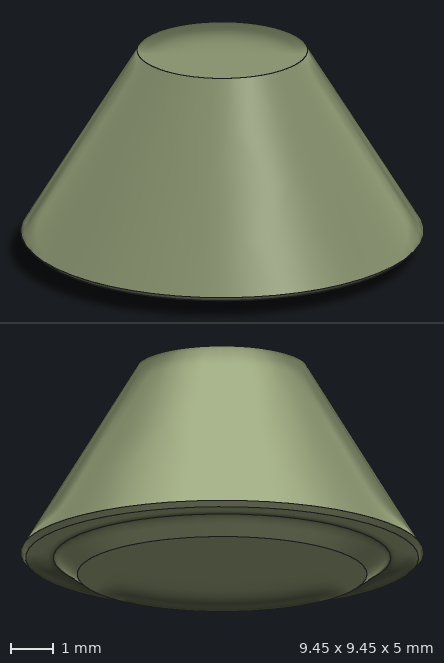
import cadquery as cq

rim_diameter = 9.45
top_diameter = 4.0
rim_bottom_diameter = 9.2
foot_top_diameter = 7.9
foot_bottom_diameter = 6.785

total_height = 5.0
foot_height = 0.4
rim_height = 0.12

rim_bottom_z = foot_height
rim_top_z = rim_bottom_z + rim_height

half_section = (
    cq.Workplane("XZ")
    .moveTo(0, 0)
    .lineTo(foot_bottom_diameter / 2, 0)
    .lineTo(foot_top_diameter / 2, foot_height)
    .lineTo(rim_bottom_diameter / 2, rim_bottom_z)
    .lineTo(rim_diameter / 2, rim_top_z)
    .lineTo(top_diameter / 2, total_height)
    .lineTo(0, total_height)
    .close()
)

result = half_section.revolve(360, (0, 0, 0), (0, 1, 0))